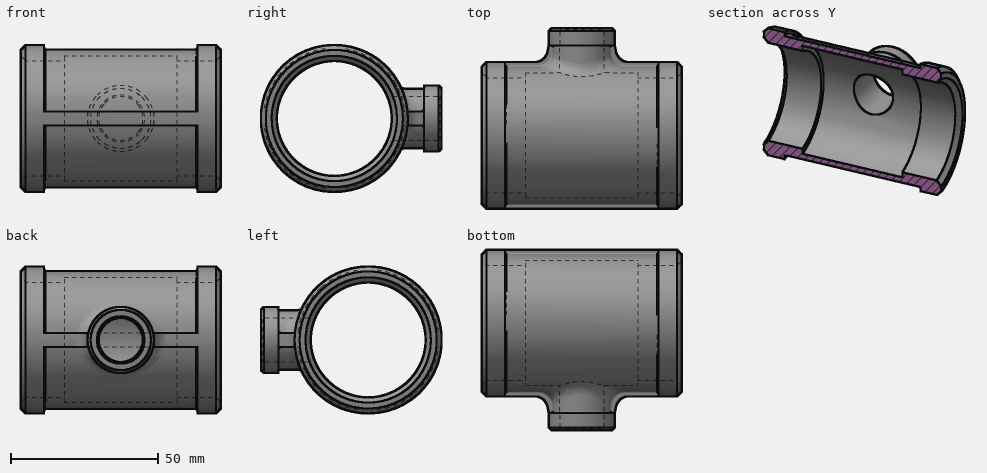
import cadquery as cq
import math

run_length = 68.0
collar_diameter = 50.0
collar_length = 8.0
collar_chamfer = 1.7
wall_step = 1.5
body_diameter = collar_diameter - 2 * wall_step
collar_base = run_length / 2 - collar_length
body_half_length = run_length / 2 - collar_length / 2

bore_diameter = 38.95
bore_depth = 14.95
relief_diameter = 42.6
mouth_diameter = 42.6

branch_reach = 36.45
branch_collar_diameter = 22.5
branch_collar_length = 5.9
branch_collar_base = branch_reach - branch_collar_length
branch_collar_chamfer = 1.0
neck_step = 1.1
neck_diameter = branch_collar_diameter - 2 * neck_step
neck_fillet = 5.0
branch_bore_diameter = 14.95
branch_mouth_diameter = 16.1

rib_width = 4.9
web_flare = 1.1
web_fillet = 4.55

foot_fillet = 0.5
tolerance = 0.01


def run_cylinder(diameter, start, end):
    """Solid cylinder along X, with its seam on the -Y side, clear of the branch."""
    start_plane = cq.Plane(origin=(start, 0, 0), xDir=(0, -1, 0), normal=(1, 0, 0))
    return cq.Workplane(start_plane).circle(diameter / 2).extrude(end - start)


def branch_cylinder(diameter, start, end):
    """Solid cylinder along Y from start to end."""
    start_plane = cq.Plane(origin=(0, start, 0), xDir=(1, 0, 0), normal=(0, 1, 0))
    return cq.Workplane(start_plane).circle(diameter / 2).extrude(end - start)


def filleted_tee():
    """Run body and branch neck blended by a fillet where they meet."""
    run = run_cylinder(body_diameter, -body_half_length, body_half_length)
    tee = run.union(branch_cylinder(neck_diameter, 0, branch_reach - branch_collar_length / 2))
    meeting_curve = cq.selectors.BoxSelector(
        (-neck_diameter, 0, -neck_diameter),
        (neck_diameter, collar_diameter / 2, neck_diameter),
    )
    return tee.edges(meeting_curve).edges("not %LINE").fillet(neck_fillet)


def run_collar():
    """Collar on the +X end of the run, chamfered on its outer rim."""
    collar = cq.Workplane("YZ", origin=(collar_base, 0, 0)).circle(collar_diameter / 2).extrude(collar_length)
    return collar.faces(">X").edges().chamfer(collar_chamfer)


def branch_collar():
    """Collar on the end of the branch, chamfered on its outer rim."""
    collar = branch_cylinder(branch_collar_diameter, branch_collar_base, branch_reach)
    return collar.faces(">Y").edges().chamfer(branch_collar_chamfer)


def rib():
    """Band along both sides of the run plus the web that climbs the neck."""
    slab = cq.Workplane("XY").box(run_length, collar_diameter, rib_width)
    band = run_cylinder(collar_diameter, -body_half_length, body_half_length).intersect(slab)

    edge_height = math.sqrt((collar_diameter / 2) ** 2 - (rib_width / 2) ** 2)
    web_top = branch_collar_diameter / 2
    web_foot = web_top + web_flare
    web_end = collar_base
    web = (
        cq.Workplane("XY", origin=(0, 0, -rib_width / 2))
        .moveTo(-web_end, bore_diameter / 2)
        .lineTo(web_end, bore_diameter / 2)
        .lineTo(web_end, edge_height)
        .lineTo(web_foot, edge_height)
        .lineTo(web_top, branch_collar_base)
        .lineTo(-web_top, branch_collar_base)
        .lineTo(-web_foot, edge_height)
        .lineTo(-web_end, edge_height)
        .close()
        .extrude(rib_width)
    )
    for side in (-1, 1):
        corner = cq.selectors.NearestToPointSelector((side * web_foot, edge_height, 0))
        web = web.edges("|Z").edges(corner).fillet(web_fillet)
    return band.union(web)


def is_foot_edge(edge, tee):
    """True where a collar or rib wall stands on the surface of the tee."""
    middle = edge.positionAt(0.5)
    touches_tee = tee.val().distance(cq.Vertex.makeVertex(*middle.toTuple())) < tolerance
    on_wall = (
        abs(abs(middle.x) - collar_base) < tolerance
        or abs(middle.y - branch_collar_base) < tolerance
        or abs(abs(middle.z) - rib_width / 2) < tolerance
    )
    return touches_tee and on_wall


def outer_body():
    """Solid tee with its collars, rib and foot fillets, before boring."""
    tee = filleted_tee()
    body = tee.union(rib()).union(branch_collar())
    body = body.union(run_collar()).union(run_collar().mirror("YZ")).clean()
    foot_edges = [edge for edge in body.edges().vals() if is_foot_edge(edge, tee)]
    return body.newObject(foot_edges).fillet(foot_fillet)


def mouth_cutter(wide_diameter, narrow_diameter):
    """45 degree countersink, wide end at the origin and narrowing toward -Z."""
    depth = (wide_diameter - narrow_diameter) / 2
    profile = [(0, 0), (wide_diameter / 2, 0), (narrow_diameter / 2, -depth), (0, -depth)]
    return cq.Workplane("XZ").polyline(profile).close().revolve(360, (0, 0), (0, 1))


def bores():
    """Everything removed from inside the run and the branch."""
    relief_end = run_length / 2 - bore_depth
    cutter = run_cylinder(bore_diameter, -run_length / 2, run_length / 2)
    cutter = cutter.union(run_cylinder(relief_diameter, -relief_end, relief_end))
    cutter = cutter.union(branch_cylinder(branch_bore_diameter, 0, branch_reach))
    run_mouth = mouth_cutter(mouth_diameter, bore_diameter)
    for side in (-1, 1):
        mouth = run_mouth.rotate((0, 0, 0), (0, 1, 0), side * 90)
        cutter = cutter.union(mouth.translate((side * run_length / 2, 0, 0)))
    branch_mouth = mouth_cutter(branch_mouth_diameter, branch_bore_diameter)
    branch_mouth = branch_mouth.rotate((0, 0, 0), (1, 0, 0), -90)
    return cutter.union(branch_mouth.translate((0, branch_reach, 0)))


result = outer_body().cut(bores()).solids()